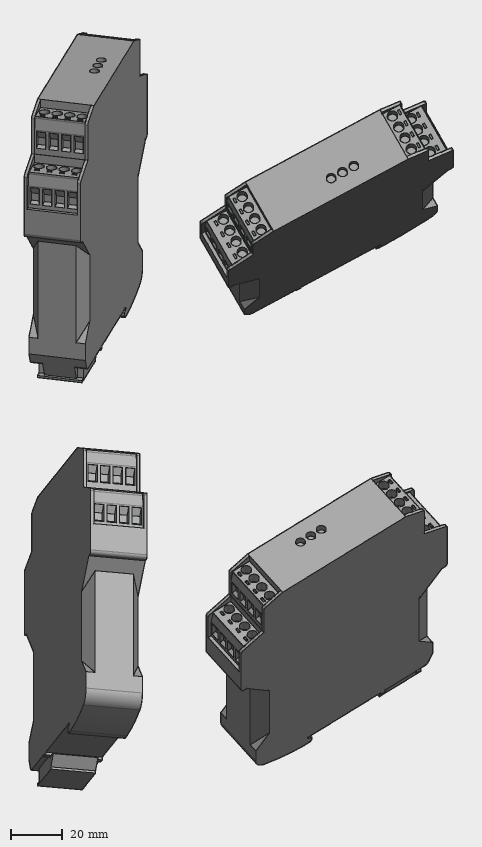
import cadquery as cq
import math

WIDTH = 22.5
LENGTH = 99.0
HEIGHT = 114.5
OVERCUT = 1.0

SHOULDER_HALF_Y = LENGTH / 2
UPPER_HALF_Y = 38.6
CAP_HALF_Y = 29.6
LOWER_HALF_Y = 42.5
STEP_Z = 95.3
SLOPE_ANGLE = 21.0
SHOULDER_BOTTOM_Z = 64.5
UNDERCUT_Z = 60.2
CORNER_RADIUS = 1.2
SHOULDER_BOTTOM_RADIUS = 1.5

RAIL_SEAT_Z = 6.3
HEEL_TOP_Z = 12.0
HEEL_MIDDLE = (41.5, 8.6)
HEEL_END = (38.8, 6.4)
BELLY_MIDDLE = (29.2, 3.7)
HOOK_BOTTOM_Z = 2.4
HOOK_BOTTOM_START_Y = 19.4
HOOK_BOTTOM_END_Y = 16.4
HOOK_TIP_Y = 15.5
HOOK_TIP_LOWER_Z = 3.4
HOOK_TIP_UPPER_Z = 4.8
HOOK_ROOT_Y = 17.5
HOOK_ROOT_Z = 5.6
RELEASE_SLOPE_TOP_Z = 11.6
BODY_CHAMFER_TOP_Z = 7.3
BODY_CHAMFER_Y = 39.0
LIP_Z = 0.9
RELEASE_SLOPE_END_Y = -37.4
CLIP_WIDTH = 17.8
CLIP_RIB_WIDTH = 12.7
CLIP_BACK_Y = -36.2
CLIP_TIP_Y = -15.0
CLIP_TIP_Z = 5.1
CLIP_ROOT_Z = 5.6
LIP_FRONT_Y = -18.6
LIP_REAR_Y = -38.7
RAIL_START_Y = -17.5
STOP_LENGTH = 2.3
STOP_BOTTOM_Z = 5.2

GRIP_INNER_Y = 35.9
GRIP_DEPTH_X = 3.65
GRIP_BOTTOM_Z = 18.7

SIDE_WALL = 1.25
TERMINAL_TOP_Z = 111.0
TERMINAL_STEP_Z = 19.35
UPPER_TERMINAL_FACE_Y = 38.5
LOWER_TERMINAL_FACE_Y = 48.05
LIP_HEIGHT = 0.8
BAND_HEIGHT = 4.7
BAND_DRAFT = 10.0
LEDGE_Z = 76.8
POLES = 4
POLE_PITCH = 5.0
SCREW_DIAMETER = 4.0
SCREW_DEPTH = 5.0
UPPER_SCREW_Y = 33.05
LOWER_SCREW_Y = 41.3
TEST_SLOT_OFFSET = 3.15
TEST_SLOT_X = 1.9
TEST_SLOT_Y = 0.8
TEST_SLOT_DEPTH = 0.5

ENTRY_WIDTH = 3.7
ENTRY_BACK_WIDTH = 3.2
ENTRY_HEIGHT = 7.0
ENTRY_DEPTH = 1.6
ENTRY_TOP_DROP = 6.15
ENTRY_BACK_HEIGHT = 3.1
ENTRY_FLOOR_NORMAL_ANGLE = 60.0
ENTRY_ROOF_DRAFT = 25.0

LED_DIAMETER = 3.7
LED_DEPTH = 3.0
LED_X = 3.5
LED_PITCH = 5.0
LED_COUNT = 3

SLOPE = math.tan(math.radians(SLOPE_ANGLE))
UPPER_CORNER_Z = HEIGHT - (UPPER_HALF_Y - CAP_HALF_Y) * SLOPE
SHOULDER_CORNER_Z = STEP_Z - (SHOULDER_HALF_Y - UPPER_HALF_Y) * SLOPE
UNDERCUT_OUTER_Y = LOWER_HALF_Y + SHOULDER_BOTTOM_Z - UNDERCUT_Z
BAND_RUN = BAND_HEIGHT * math.tan(math.radians(BAND_DRAFT))
RELEASE_SLOPE = (LOWER_HALF_Y + RELEASE_SLOPE_END_Y) / (RELEASE_SLOPE_TOP_Z - LIP_Z)
CHAMFER_OUTER_Y = LOWER_HALF_Y - (RELEASE_SLOPE_TOP_Z - BODY_CHAMFER_TOP_Z) * RELEASE_SLOPE
POLE_X = [(i - (POLES - 1) / 2) * POLE_PITCH for i in range(POLES)]


def prism(points, width):
    """Extrude a closed (Y, Z) polygon along X, centred on X = 0."""
    return cq.Workplane("YZ").polyline(points).close().extrude(width / 2, both=True)


def column(points, z_bottom, z_top):
    """Extrude a closed (X, Y) polygon upward between two heights."""
    base = cq.Workplane("XY").workplane(offset=z_bottom)
    return base.polyline(points).close().extrude(z_top - z_bottom)


def both_ends(tool):
    """Return a tool together with its mirror image on the opposite Y end."""
    return tool.union(tool.mirror("XZ"))


def make_housing():
    """Full-width side outline with the hook on the +Y side of the underside."""
    outline = (
        cq.Workplane("YZ")
        .moveTo(-CAP_HALF_Y, HEIGHT)
        .lineTo(CAP_HALF_Y, HEIGHT)
        .lineTo(UPPER_HALF_Y, UPPER_CORNER_Z)
        .lineTo(UPPER_HALF_Y, STEP_Z)
        .lineTo(SHOULDER_HALF_Y, SHOULDER_CORNER_Z)
        .lineTo(SHOULDER_HALF_Y, SHOULDER_BOTTOM_Z)
        .lineTo(UNDERCUT_OUTER_Y, SHOULDER_BOTTOM_Z)
        .lineTo(LOWER_HALF_Y, UNDERCUT_Z)
        .lineTo(LOWER_HALF_Y, HEEL_TOP_Z)
        .threePointArc(HEEL_MIDDLE, HEEL_END)
        .threePointArc(BELLY_MIDDLE, (HOOK_BOTTOM_START_Y, HOOK_BOTTOM_Z))
        .lineTo(HOOK_BOTTOM_END_Y, HOOK_BOTTOM_Z)
        .lineTo(HOOK_TIP_Y, HOOK_TIP_LOWER_Z)
        .lineTo(HOOK_TIP_Y, HOOK_TIP_UPPER_Z)
        .lineTo(HOOK_ROOT_Y, HOOK_ROOT_Z)
        .lineTo(HOOK_ROOT_Y, RAIL_SEAT_Z)
        .lineTo(RAIL_START_Y, RAIL_SEAT_Z)
        .lineTo(RAIL_START_Y, STOP_BOTTOM_Z)
        .lineTo(RAIL_START_Y - STOP_LENGTH, STOP_BOTTOM_Z)
        .lineTo(RAIL_START_Y - STOP_LENGTH, RAIL_SEAT_Z)
        .lineTo(-BODY_CHAMFER_Y, RAIL_SEAT_Z)
        .lineTo(-CHAMFER_OUTER_Y, BODY_CHAMFER_TOP_Z)
        .lineTo(-LOWER_HALF_Y, RELEASE_SLOPE_TOP_Z)
        .lineTo(-LOWER_HALF_Y, UNDERCUT_Z)
        .lineTo(-UNDERCUT_OUTER_Y, SHOULDER_BOTTOM_Z)
        .lineTo(-SHOULDER_HALF_Y, SHOULDER_BOTTOM_Z)
        .lineTo(-SHOULDER_HALF_Y, SHOULDER_CORNER_Z)
        .lineTo(-UPPER_HALF_Y, STEP_Z)
        .lineTo(-UPPER_HALF_Y, UPPER_CORNER_Z)
        .close()
    )
    housing = outline.extrude(WIDTH / 2, both=True)
    for half_y, z, radius in (
        (UPPER_HALF_Y, UPPER_CORNER_Z, CORNER_RADIUS),
        (SHOULDER_HALF_Y, SHOULDER_CORNER_Z, CORNER_RADIUS),
        (SHOULDER_HALF_Y, SHOULDER_BOTTOM_Z, SHOULDER_BOTTOM_RADIUS),
    ):
        for y in (-half_y, half_y):
            edge = cq.selectors.NearestToPointSelector((0, y, z))
            housing = housing.edges(edge).fillet(radius)
    return housing


def make_rail_clip():
    """Snap foot on the -Y side, with a central rib that carries on the slanted edge."""
    foot = prism(
        [
            (RAIL_START_Y, RAIL_SEAT_Z),
            (RAIL_START_Y, CLIP_ROOT_Z),
            (CLIP_TIP_Y, CLIP_TIP_Z),
            (LIP_FRONT_Y, LIP_Z),
            (LIP_FRONT_Y, 0),
            (LIP_REAR_Y, 0),
            (LIP_REAR_Y, LIP_Z),
            (CLIP_BACK_Y, LIP_Z),
            (CLIP_BACK_Y, RAIL_SEAT_Z),
        ],
        CLIP_WIDTH,
    )
    rib = prism(
        [
            (CLIP_BACK_Y, LIP_Z),
            (RELEASE_SLOPE_END_Y, LIP_Z),
            (-LOWER_HALF_Y, RELEASE_SLOPE_TOP_Z),
            (CLIP_BACK_Y, RELEASE_SLOPE_TOP_Z),
        ],
        CLIP_RIB_WIDTH,
    )
    return foot.union(rib)


def make_grip_recess():
    """Wedge cut on the +X, -Y edge, closed by 45 degree faces above and below."""
    reach = LOWER_HALF_Y - GRIP_INNER_Y
    side = prism(
        [
            (-GRIP_INNER_Y, UNDERCUT_Z - reach),
            (-LOWER_HALF_Y - OVERCUT, UNDERCUT_Z + OVERCUT),
            (-LOWER_HALF_Y - OVERCUT, GRIP_BOTTOM_Z - OVERCUT),
            (-GRIP_INNER_Y, GRIP_BOTTOM_Z + reach),
        ],
        WIDTH + 2 * OVERCUT,
    )
    slant = GRIP_DEPTH_X / reach
    wedge = column(
        [
            (WIDTH / 2, -GRIP_INNER_Y),
            (WIDTH / 2 - GRIP_DEPTH_X - OVERCUT * slant, -LOWER_HALF_Y - OVERCUT),
            (WIDTH / 2 + OVERCUT, -LOWER_HALF_Y - OVERCUT),
            (WIDTH / 2 + OVERCUT, -GRIP_INNER_Y),
        ],
        0,
        HEIGHT,
    )
    return side.intersect(wedge)


def terminal_profile(back_y, face_y, top_z, bottom_z, outer_y, outer_z):
    """(Y, Z) region removed around a terminal block on the -Y end."""
    return [
        (-back_y, outer_z),
        (-back_y, top_z),
        (-face_y + BAND_RUN, top_z),
        (-face_y + BAND_RUN, top_z - LIP_HEIGHT),
        (-face_y, top_z - LIP_HEIGHT - BAND_HEIGHT),
        (-face_y, bottom_z),
        (-outer_y, bottom_z),
        (-outer_y, outer_z),
    ]


def make_wire_entry(x, face_y, top_z):
    """Tapered opening in a terminal face on the -Y end."""
    mouth_top = top_z - ENTRY_TOP_DROP
    mouth_bottom = mouth_top - ENTRY_HEIGHT
    floor_rise = ENTRY_DEPTH / math.tan(math.radians(ENTRY_FLOOR_NORMAL_ANGLE))
    back_top = mouth_bottom + floor_rise + ENTRY_BACK_HEIGHT
    roof_run = (mouth_top - back_top) * math.tan(math.radians(ENTRY_ROOF_DRAFT))
    back_y = -face_y + ENTRY_DEPTH
    side = prism(
        [
            (-face_y - OVERCUT, mouth_top),
            (back_y - roof_run, mouth_top),
            (back_y, back_top),
            (back_y, mouth_bottom + floor_rise),
            (-face_y, mouth_bottom),
            (-face_y - OVERCUT, mouth_bottom),
        ],
        WIDTH,
    )
    plan = column(
        [
            (x - ENTRY_WIDTH / 2, -face_y - OVERCUT),
            (x - ENTRY_WIDTH / 2, -face_y),
            (x - ENTRY_BACK_WIDTH / 2, back_y),
            (x + ENTRY_BACK_WIDTH / 2, back_y),
            (x + ENTRY_WIDTH / 2, -face_y),
            (x + ENTRY_WIDTH / 2, -face_y - OVERCUT),
        ],
        0,
        HEIGHT,
    )
    return side.intersect(plan)


def cut_terminal(body, profile, face_y, screw_y, top_z):
    """Form one row of terminals on both Y ends."""
    body = body.cut(both_ends(prism(profile, WIDTH - 2 * SIDE_WALL)))
    top = cq.Workplane("XY").workplane(offset=top_z)
    screws = [(x, -screw_y) for x in POLE_X]
    test_slots = [(x, -screw_y - TEST_SLOT_OFFSET) for x in POLE_X]
    screw_tool = top.pushPoints(screws).circle(SCREW_DIAMETER / 2).extrude(-SCREW_DEPTH)
    body = body.cut(both_ends(screw_tool))
    slot_tool = top.pushPoints(test_slots).rect(TEST_SLOT_X, TEST_SLOT_Y).extrude(-TEST_SLOT_DEPTH)
    body = body.cut(both_ends(slot_tool))
    for x in POLE_X:
        body = body.cut(both_ends(make_wire_entry(x, face_y, top_z)))
    return body


def cut_indicators(body):
    """Row of indicator holes in the top face."""
    points = [(LED_X, i * LED_PITCH) for i in range(LED_COUNT)]
    top = cq.Workplane("XY").workplane(offset=HEIGHT)
    return body.cut(top.pushPoints(points).circle(LED_DIAMETER / 2).extrude(-LED_DEPTH))


body = make_housing().union(make_rail_clip())

grips = both_ends(make_grip_recess())
body = body.cut(grips).cut(grips.mirror("YZ"))

upper_profile = terminal_profile(
    CAP_HALF_Y,
    UPPER_TERMINAL_FACE_Y,
    TERMINAL_TOP_Z,
    STEP_Z,
    UPPER_HALF_Y + OVERCUT,
    HEIGHT + OVERCUT,
)
lower_profile = terminal_profile(
    UPPER_HALF_Y,
    LOWER_TERMINAL_FACE_Y,
    TERMINAL_TOP_Z - TERMINAL_STEP_Z,
    LEDGE_Z,
    SHOULDER_HALF_Y + OVERCUT,
    STEP_Z,
)
body = cut_terminal(body, upper_profile, UPPER_TERMINAL_FACE_Y, UPPER_SCREW_Y, TERMINAL_TOP_Z)
body = cut_terminal(
    body, lower_profile, LOWER_TERMINAL_FACE_Y, LOWER_SCREW_Y, TERMINAL_TOP_Z - TERMINAL_STEP_Z
)

result = cut_indicators(body)